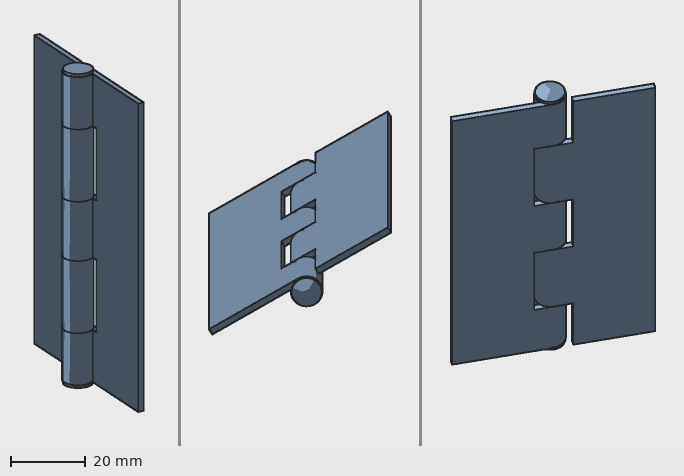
import cadquery as cq

total_height = 92.2
total_width = 56.0
barrel_diameter = 8.6
leaf_thickness = 1.75
notch_reach = 5.35
end_knuckle_length = 15.1
inner_knuckle_length = 20.8
middle_knuckle_length = 17.15
head_radius = 4.1
head_rim_height = 0.8

knuckle_lengths = [
    end_knuckle_length,
    inner_knuckle_length,
    middle_knuckle_length,
    inner_knuckle_length,
    end_knuckle_length,
]
leaf_height = sum(knuckle_lengths)
leaf_bottom = -leaf_height / 2
half_width = total_width / 2
barrel_radius = barrel_diameter / 2
bore_radius = barrel_radius - leaf_thickness
head_height = (total_height - leaf_height) / 2
knuckle_bottoms = [leaf_bottom + sum(knuckle_lengths[:i]) for i in range(len(knuckle_lengths))]


def plate(inner_x, outer_x, bottom, height):
    """Flat plate whose back face is tangent to the barrel."""
    return cq.Workplane("XY").box(
        outer_x - inner_x, leaf_thickness, height, centered=False
    ).translate((inner_x, bore_radius, bottom))


def make_leaf(first_knuckle):
    """Leaf on the +X side carrying every second knuckle, starting from first_knuckle."""
    leaf = plate(notch_reach, half_width, leaf_bottom, leaf_height)
    for i in range(first_knuckle, len(knuckle_lengths), 2):
        bottom = knuckle_bottoms[i]
        length = knuckle_lengths[i]
        tab = plate(0, notch_reach, bottom, length)
        knuckle = cq.Workplane("XY", origin=(0, 0, bottom)).circle(barrel_radius).extrude(length)
        leaf = leaf.union(tab).union(knuckle)
    bore = cq.Workplane("XY", origin=(0, 0, leaf_bottom)).circle(bore_radius).extrude(leaf_height)
    return leaf.cut(bore)


def make_cap():
    """Round cap with a low conical top, standing on the upper end of the barrel."""
    cap_bottom = leaf_height / 2
    rim_top = cap_bottom + head_rim_height
    profile = cq.Workplane("XZ").polyline([
        (0, cap_bottom),
        (head_radius, cap_bottom),
        (head_radius, rim_top),
        (0, cap_bottom + head_height),
    ]).close()
    return profile.revolve(360, (0, 0), (0, 1))


def make_pin():
    """Pin filling the bore, with a head at its lower end that mirrors the cap."""
    shank = cq.Workplane("XY", origin=(0, 0, leaf_bottom)).circle(bore_radius).extrude(leaf_height)
    head = make_cap().mirror("XY")
    return shank.union(head)


right_leaf = make_leaf(first_knuckle=0)
left_leaf = make_leaf(first_knuckle=1).mirror("YZ")
pin = make_pin()
cap = make_cap()

result = cq.Compound.makeCompound([right_leaf.val(), left_leaf.val(), pin.val(), cap.val()])